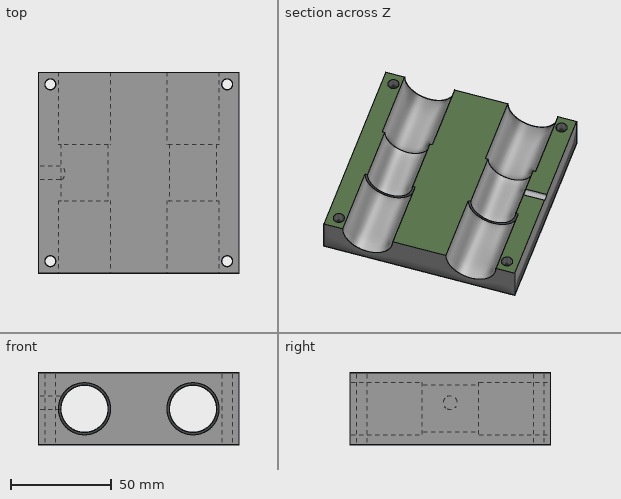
import cadquery as cq

LENGTH = 100.0
WIDTH = 100.0
HEIGHT = 36.0

BORE_DIAMETER = 23.4
BORE_SPACING = 54.0
SEAT_DIAMETER = 26.0
SEAT_DEPTH = 36.0

MOUNT_DIAMETER = 5.3
MOUNT_EDGE_DISTANCE = 6.0

PORT_DIAMETER = 6.92
PORT_Z = 3.0


def cylinder_along_y(x, y_start, length, diameter):
    """Cylinder starting at y_start and running toward +Y at mid height."""
    start = cq.Vector(x, y_start, 0)
    return cq.Workplane(obj=cq.Solid.makeCylinder(diameter / 2, length, start, cq.Vector(0, 1, 0)))


def make_block():
    """Plain rectangular block."""
    return cq.Workplane("XY").box(LENGTH, WIDTH, HEIGHT)


def cut_stepped_bore(body, x):
    """Through bore with a wider seat at each end, leaving a shoulder in the middle."""
    front = -WIDTH / 2
    body = body.cut(cylinder_along_y(x, front, WIDTH, BORE_DIAMETER))
    for seat_start in (front, WIDTH / 2 - SEAT_DEPTH):
        body = body.cut(cylinder_along_y(x, seat_start, SEAT_DEPTH, SEAT_DIAMETER))
    return body


def cut_mounting_holes(body):
    """Plain through holes, one near each corner."""
    spacing_x = LENGTH - 2 * MOUNT_EDGE_DISTANCE
    spacing_y = WIDTH - 2 * MOUNT_EDGE_DISTANCE
    return (
        body.faces(">Z")
        .workplane()
        .rect(spacing_x, spacing_y, forConstruction=True)
        .vertices()
        .hole(MOUNT_DIAMETER)
    )


def cut_port(body):
    """Cross hole ending on the axis of the nearer bore."""
    depth = LENGTH / 2 - BORE_SPACING / 2
    start = cq.Vector(-LENGTH / 2, 0, PORT_Z)
    port = cq.Solid.makeCylinder(PORT_DIAMETER / 2, depth, start, cq.Vector(1, 0, 0))
    return body.cut(cq.Workplane(obj=port))


result = make_block()
for bore_x in (-BORE_SPACING / 2, BORE_SPACING / 2):
    result = cut_stepped_bore(result, bore_x)
result = cut_mounting_holes(result)
result = cut_port(result)